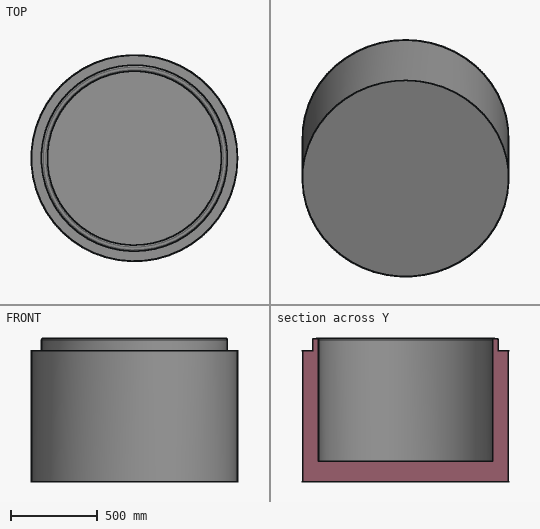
import cadquery as cq

outer_diameter = 1186.0
total_height = 824.0
floor_thickness = 120.0
bore_diameter = 1000.0

spigot_diameter = 1070.0
spigot_height = 70.0
rim_fillet = 10.0

shoulder_height = total_height - spigot_height

body = cq.Workplane("XY").circle(outer_diameter / 2).extrude(shoulder_height)

spigot = (
    cq.Workplane("XY")
    .workplane(offset=shoulder_height)
    .circle(spigot_diameter / 2)
    .extrude(spigot_height)
)

bore = (
    cq.Workplane("XY")
    .workplane(offset=floor_thickness)
    .circle(bore_diameter / 2)
    .extrude(total_height - floor_thickness)
)

result = body.union(spigot).cut(bore).faces(">Z").edges().fillet(rim_fillet)